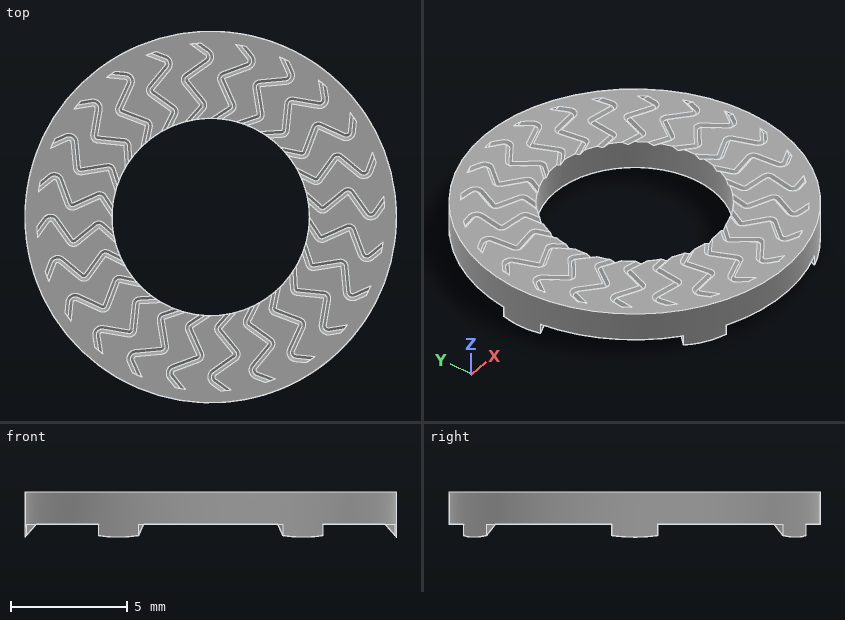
import cadquery as cq
import math

OUTER_RADIUS = 8.0
BORE_RADIUS = 8.49 / 2
TOTAL_HEIGHT = 1.96
LEG_HEIGHT = 0.56
RING_THICKNESS = TOTAL_HEIGHT - LEG_HEIGHT

LEG_COUNT = 6
LEG_WIDTH = 2.0
LEG_ROOT_DEPTH = 0.5

WEDGE_OVERHANG = 0.2
BLANK_DEPTH = 2 * LEG_HEIGHT
UNDERSIDE_CUTTER_DEPTH = 3 * LEG_HEIGHT
UNDERSIDE_CUTTER_RADIUS = OUTER_RADIUS + 1.0

GROOVE_COUNT = 24
GROOVE_WIDTH = 0.3
GROOVE_DEPTH = 0.15
GROOVE_OUTER_RADIUS = 7.5

GROOVE_START = (-1.2, 7.86)
GROOVE_BENDS = [
    ((0.15, 6.89), 0.25),
    ((-1.19, 5.94), 0.17),
    ((-0.27, 4.81), 0.17),
]
GROOVE_END = (-1.08, 3.9)


def make_blank():
    """Annulus that reaches below the leg tips, with the ring's underside at Z = 0."""
    return (
        cq.Workplane("XY", origin=(0, 0, -BLANK_DEPTH))
        .circle(OUTER_RADIUS)
        .circle(BORE_RADIUS)
        .extrude(BLANK_DEPTH + RING_THICKNESS)
    )


def make_leg_wedge():
    """Wedge on the +X side whose slope meets the outer wall at the leg tip."""
    slope = LEG_HEIGHT / LEG_ROOT_DEPTH
    inner_edge = OUTER_RADIUS - LEG_ROOT_DEPTH
    outer_edge = OUTER_RADIUS + WEDGE_OVERHANG
    return (
        cq.Workplane("XZ")
        .moveTo(inner_edge, 0)
        .lineTo(outer_edge, 0)
        .lineTo(outer_edge, -slope * (outer_edge - inner_edge))
        .close()
        .extrude(LEG_WIDTH / 2, both=True)
    )


def make_underside_cutter():
    """Everything below the ring apart from the leg wedges."""
    slab = cq.Workplane("XY").circle(UNDERSIDE_CUTTER_RADIUS).extrude(-UNDERSIDE_CUTTER_DEPTH)
    wedges = copies_around_axis(make_leg_wedge(), LEG_COUNT)
    return slab.val().cut(*wedges)


def copies_around_axis(body, count):
    """Evenly spaced copies of a body about the Z axis."""
    step = 360 / count
    return [body.rotate((0, 0, 0), (0, 0, 1), step * index).val() for index in range(count)]


def unit_direction(start, end):
    """Unit vector that points from start to end."""
    length = math.dist(start, end)
    return ((end[0] - start[0]) / length, (end[1] - start[1]) / length)


def bend_tangent_points(before, bend, after, radius):
    """Points where an arc of the given radius meets the two legs of a bend."""
    back = unit_direction(bend, before)
    ahead = unit_direction(bend, after)
    half_angle = math.acos(back[0] * ahead[0] + back[1] * ahead[1]) / 2
    setback = radius / math.tan(half_angle)
    arc_start = (bend[0] + setback * back[0], bend[1] + setback * back[1])
    arc_end = (bend[0] + setback * ahead[0], bend[1] + setback * ahead[1])
    return arc_start, arc_end


def make_groove():
    """V-section cutter swept along the rounded zigzag, ended on the groove circle."""
    corners = [GROOVE_START] + [point for point, _ in GROOVE_BENDS] + [GROOVE_END]
    path = cq.Workplane("XY", origin=(0, 0, RING_THICKNESS)).moveTo(*GROOVE_START)
    for index, (bend, radius) in enumerate(GROOVE_BENDS):
        arc_start, arc_end = bend_tangent_points(corners[index], bend, corners[index + 2], radius)
        path = path.lineTo(*arc_start).tangentArcPoint(arc_end, relative=False)
    path = path.lineTo(*GROOVE_END)

    heading = unit_direction(GROOVE_START, GROOVE_BENDS[0][0])
    section_plane = cq.Plane(
        origin=(*GROOVE_START, RING_THICKNESS),
        xDir=(-heading[1], heading[0], 0),
        normal=(*heading, 0),
    )
    groove = (
        cq.Workplane(section_plane)
        .moveTo(-GROOVE_WIDTH / 2, 0)
        .lineTo(GROOVE_WIDTH / 2, 0)
        .lineTo(0, -GROOVE_DEPTH)
        .close()
        .sweep(path)
    )
    groove_zone = cq.Workplane("XY").circle(GROOVE_OUTER_RADIUS).extrude(RING_THICKNESS)
    return groove.intersect(groove_zone)


grooves = copies_around_axis(make_groove(), GROOVE_COUNT)
ring = make_blank().val().cut(make_underside_cutter()).cut(*grooves)
result = cq.Workplane("XY").newObject(ring.Solids())